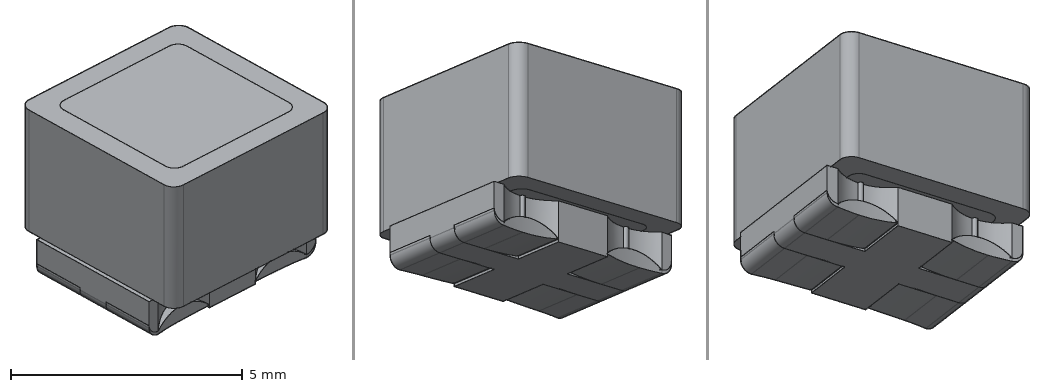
import cadquery as cq

base_length = 5.01
base_width = 3.495
base_height = 0.95
base_round = 0.275
overall_height = 4.06

housing_side = 4.8
housing_corner_radius = 0.3
column_side = 3.705
column_corner_radius = 0.27

terminal_gap = 0.81
terminal_top = 0.335
pad_thickness = 0.08
pad_lift_start = 1.655
pad_lift = 0.065
fill_top = 0.38
face_hollow = 0.06

notch_inner = 0.69
notch_depth = 0.295
lead_diameter = 0.135

half_length = base_length / 2
half_width = base_width / 2
housing_height = overall_height - base_height
notch_outer = half_length - base_round
notch_middle = (notch_inner + notch_outer) / 2
terminal_width = (base_width - terminal_gap) / 2
notch_floor = -half_width + notch_depth

corners = [(False, False), (True, False), (False, True), (True, True)]


def at_corner(shape, flip_x, flip_y):
    """Mirror a shape built at the -X, -Y corner to another corner."""
    if flip_x:
        shape = shape.mirror("YZ")
    if flip_y:
        shape = shape.mirror("XZ")
    return shape


def rounded_square_prism(side, radius, bottom, height):
    """Upright square prism with rounded vertical edges."""
    return (
        cq.Workplane("XY", origin=(0, 0, bottom))
        .rect(side, side)
        .extrude(height)
        .edges("|Z")
        .fillet(radius)
    )


def base_block():
    """Plain base with its two lower long edges rounded."""
    return (
        cq.Workplane("XY")
        .box(base_width, base_length, base_height, centered=(True, True, False))
        .edges("|X and <Z")
        .fillet(base_round)
    )


def side_hollow(depth):
    """Full-height segment of a vertical cylinder, sunk into the -X face of the base."""
    return (
        cq.Workplane("XY")
        .moveTo(-half_width, -notch_outer)
        .threePointArc((-half_width + depth, -notch_middle), (-half_width, -notch_inner))
        .close()
        .extrude(base_height)
    )


def terminal_recess():
    """Room for one terminal: under the base and up its rounded end."""
    return (
        cq.Workplane("YZ", origin=(-half_width, 0, 0))
        .moveTo(-notch_inner, 0)
        .lineTo(-notch_inner, pad_thickness)
        .lineTo(-notch_outer, pad_thickness)
        .tangentArcPoint((-half_length, terminal_top), relative=False)
        .lineTo(-half_length, 0)
        .close()
        .extrude(terminal_width)
    )


def notch_fill():
    """Lower part of the notch, closed above by an arch."""
    arch = (
        cq.Workplane("YZ", origin=(-half_width, 0, 0))
        .moveTo(-notch_outer, 0)
        .lineTo(-notch_outer, pad_thickness)
        .threePointArc((-notch_middle, fill_top), (-notch_inner, pad_thickness))
        .lineTo(-notch_inner, 0)
        .close()
        .extrude(notch_depth)
    )
    return arch.intersect(side_hollow(notch_depth))


def pad_underside_relief():
    """Sliver below the pad, where its underside curves up towards the inner end."""
    middle = (pad_lift_start + notch_inner) / 2
    return (
        cq.Workplane("YZ", origin=(-half_width, 0, 0))
        .moveTo(-pad_lift_start, 0)
        .threePointArc((-middle, pad_lift / 4), (-notch_inner, pad_lift))
        .lineTo(-notch_inner, 0)
        .close()
        .extrude(terminal_width)
    )


def lead():
    """Straight wire lead standing on the pad, half sunk into the notch wall."""
    return (
        cq.Workplane("XY", origin=(notch_floor, -notch_middle, pad_thickness))
        .circle(lead_diameter / 2)
        .extrude(base_height - pad_thickness)
    )


def terminal():
    """End terminal: pad, rounded end wrap and arched fill in the wire notch."""
    return (
        terminal_recess()
        .union(notch_fill())
        .intersect(base_block())
        .cut(side_hollow(face_hollow))
        .cut(pad_underside_relief())
        .cut(lead())
    )


def drum_core():
    """Base with its notches and recesses, and the square column that rises from it."""
    column = rounded_square_prism(column_side, column_corner_radius, base_height, housing_height)
    base = base_block()
    corner_cut = side_hollow(notch_depth).union(terminal_recess()).union(lead())
    for flip_x, flip_y in corners:
        base = base.cut(at_corner(corner_cut, flip_x, flip_y))
    return base.union(column)


def housing_sleeve():
    """Square sleeve around the core column."""
    outside = rounded_square_prism(housing_side, housing_corner_radius, base_height, housing_height)
    inside = rounded_square_prism(column_side, column_corner_radius, base_height, housing_height)
    return outside.cut(inside)


housing = housing_sleeve()
core = drum_core()
terminals = [at_corner(terminal(), flip_x, flip_y) for flip_x, flip_y in corners]
leads = [at_corner(lead(), flip_x, flip_y) for flip_x, flip_y in corners]

result = cq.Compound.makeCompound(
    [
        housing.solids().val(),
        core.solids().val(),
        *[body.solids().val() for body in terminals],
        *[body.solids().val() for body in leads],
    ]
)